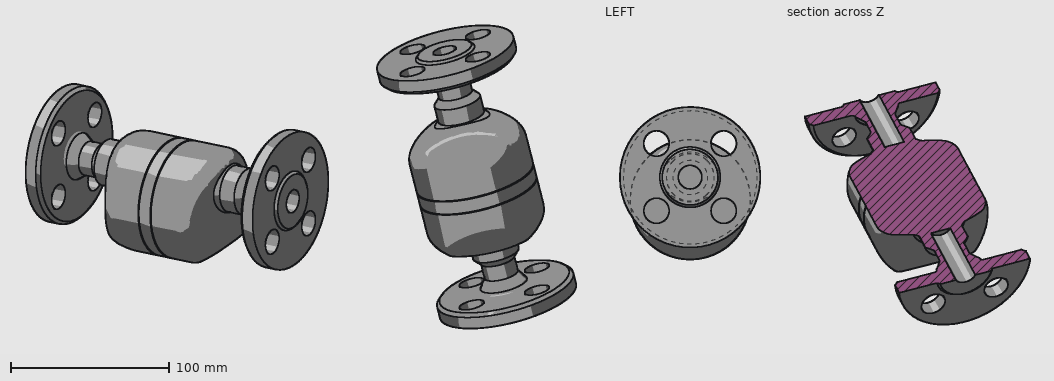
import cadquery as cq
import math

total_length = 174
half_length = total_length / 2
flange_diameter = 89.0
flange_radius = flange_diameter / 2
flange_back = 11.7
flange_chamfer = 2.3
raised_face_height = 1.7
raised_face_radius = 17.5
raised_face_root_radius = 19.1
bolt_circle_diameter = 60.0
bolt_hole_diameter = 16.0
bolt_count = 4
bolt_start_angle = 45
bore_diameter = 15.0

hub_radius = 15.1
hub_start = 13.5
hub_root_radius = 17.0
hub_end = 20.0
pipe_radius = 21.8 / 2
collar_radius = 30.0 / 2
collar_taper_start = 30.0
collar_start = 34.5
collar_end = 45.2
weld_size = 3.5

body_radius = 76.0 / 2
body_drop = 14.1
body_half_length = 41.2
end_bow_radius = 69.6
end_fillet = 11.3
slope_top = -31.7
slope_fillet = 5.2

seam_offset = 4.5
seam_width = 0.5
seam_depth = 0.2


def mirrored_pair(solid):
    """Join a solid to its mirror image across X = 0."""
    return solid.union(solid.mirror("YZ"))


def make_body():
    """Cylinder with ends bowed in plan, rounded rims and sloped lower corners."""
    barrel = (
        cq.Workplane("YZ", origin=(-half_length, 0, -body_drop))
        .circle(body_radius)
        .extrude(total_length)
    )
    bow_sag = end_bow_radius - math.sqrt(end_bow_radius**2 - body_radius**2)
    edge_x = body_half_length - bow_sag
    bowed_plan = (
        cq.Workplane("XY", origin=(0, 0, -body_drop - body_radius))
        .moveTo(-edge_x, -body_radius)
        .lineTo(edge_x, -body_radius)
        .threePointArc((body_half_length, 0), (edge_x, body_radius))
        .lineTo(-edge_x, body_radius)
        .threePointArc((-body_half_length, 0), (-edge_x, -body_radius))
        .close()
        .extrude(2 * body_radius)
    )
    body = barrel.intersect(bowed_plan)
    body = body.edges("<X or >X").fillet(end_fillet)

    body_bottom = -body_drop - body_radius
    slope_run = slope_top - body_bottom
    corner = (
        cq.Workplane("XZ", origin=(0, body_radius, 0))
        .moveTo(body_half_length, slope_top)
        .lineTo(body_half_length - slope_run, body_bottom)
        .lineTo(body_half_length, body_bottom)
        .close()
        .extrude(2 * body_radius)
    )
    body = body.cut(mirrored_pair(corner))
    for direction in ((-1, 0, -1), (1, 0, -1)):
        slope = body.faces(cq.selectors.ParallelDirSelector(cq.Vector(direction)))
        slope = slope.faces(cq.selectors.DirectionMinMaxSelector(cq.Vector(direction)))
        body = slope.edges().fillet(slope_fillet)
    return body


def make_neck():
    """Flange, hub, pipe and collar turned about the pipe axis on the -X side."""
    return (
        cq.Workplane("XY", origin=(-half_length, 0, 0))
        .lineTo(0, raised_face_radius)
        .lineTo(raised_face_height, raised_face_root_radius)
        .lineTo(raised_face_height, flange_radius)
        .lineTo(flange_back - flange_chamfer, flange_radius)
        .lineTo(flange_back, flange_radius - flange_chamfer)
        .lineTo(flange_back, hub_root_radius)
        .tangentArcPoint((hub_start, hub_radius), relative=False)
        .lineTo(hub_end, pipe_radius)
        .lineTo(collar_taper_start, pipe_radius)
        .lineTo(collar_start, collar_radius)
        .lineTo(collar_end, collar_radius)
        .lineTo(collar_end + weld_size, collar_radius + weld_size)
        .lineTo(collar_end + weld_size, 0)
        .close()
        .revolve(360, (0, 0, 0), (1, 0, 0))
    )


def make_holes():
    """Bolt holes and blind bore of the -X flange."""
    bolts = (
        cq.Workplane("YZ", origin=(-half_length, 0, 0))
        .polarArray(bolt_circle_diameter / 2, bolt_start_angle, 360, bolt_count)
        .circle(bolt_hole_diameter / 2)
        .extrude(flange_back)
    )
    bore = (
        cq.Workplane("YZ", origin=(-half_length, 0, 0))
        .circle(bore_diameter / 2)
        .extrude(collar_end)
    )
    return bolts.union(bore)


def make_seam():
    """Shallow groove round the body on the -X side of its middle."""
    return (
        cq.Workplane("YZ", origin=(-seam_offset - seam_width / 2, 0, -body_drop))
        .circle(body_radius)
        .circle(body_radius - seam_depth)
        .extrude(seam_width)
    )


result = make_body().cut(mirrored_pair(make_seam()))
result = result.union(mirrored_pair(make_neck()))
result = result.cut(mirrored_pair(make_holes()))